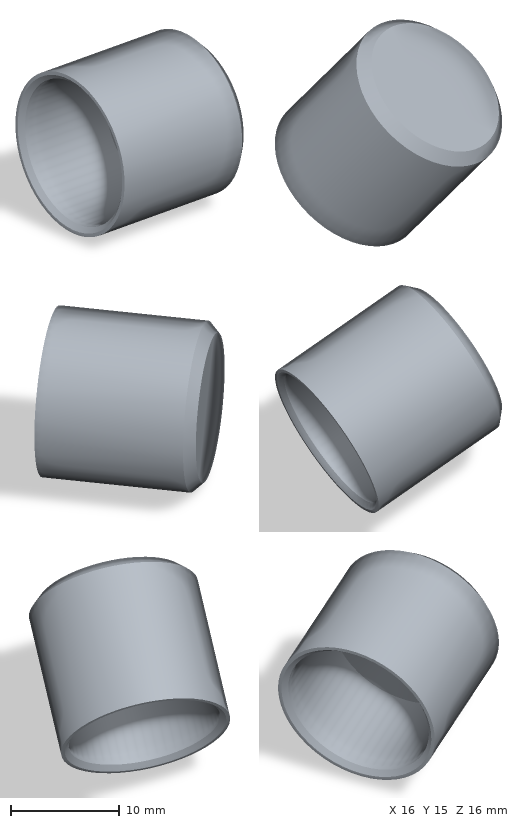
import cadquery as cq
import math

outer_radius = 8.0
length = 15.0
back_chamfer = 1.0
bore_radius = 7.17
mouth_radius = 7.65
mouth_chamfer_depth = 0.48
bore_depth = 10.0
cone_angle = 118.0

cone_height = bore_radius / math.tan(math.radians(cone_angle / 2))

profile = (
    cq.Workplane("YZ")
    .moveTo(0, mouth_radius)
    .lineTo(0, outer_radius)
    .lineTo(length - back_chamfer, outer_radius)
    .lineTo(length, outer_radius - back_chamfer)
    .lineTo(length, 0)
    .lineTo(bore_depth + cone_height, 0)
    .lineTo(bore_depth, bore_radius)
    .lineTo(mouth_chamfer_depth, bore_radius)
    .close()
)

result = profile.revolve(360, (0, 0, 0), (1, 0, 0))